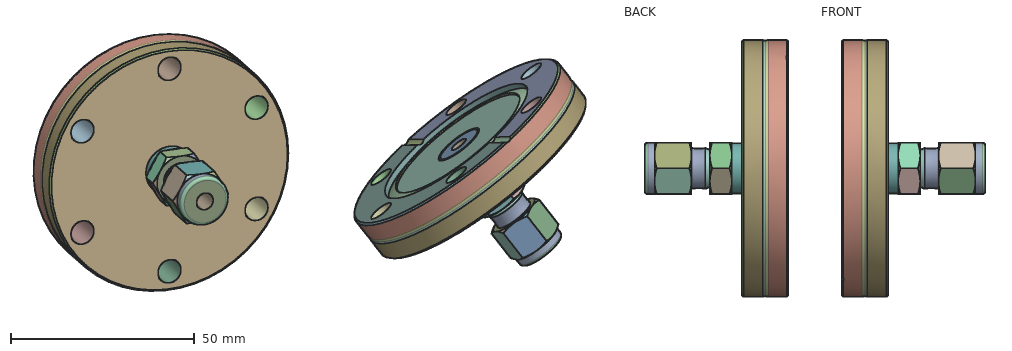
import cadquery as cq
import math

flange_radius = 69.9 / 2
flange_thickness = 12.7
rim_chamfer = 0.5

groove_start = 5.5
groove_end = 7.0
groove_depth = 0.15
groove_sag = 0.03

recess_radius = 24.15
recess_depth = 1.7
knife_radius = 21.0
knife_tip_depth = 0.65
knife_inner_radius = 20.9
inner_face_depth = 1.2

bolt_count = 6
bolt_circle_radius = 58.7 / 2
bolt_hole_diameter = 6.7

leak_channel_half_width = 1.2
leak_channel_depth = 0.6
leak_channel_tilt = 30

overall_length = 39.1
stem_radius = 6.88
stem_chamfer = 0.62
bore_radius = 2.4

hex_across_flats = 14.05
hex_flat_radius = hex_across_flats / 2
hex_sides = 6
hex_corner_radius = hex_flat_radius / math.cos(math.pi / hex_sides)
hex_cone_angle = 30

body_hex_start = 15.4
body_hex_end = 21.35
nut_hex_start = 26.35
nut_hex_end = 36.4

neck_root_radius = 5.1
neck_radius = 5.55
neck_waist_radius = 5.4
neck_taper_end = 22.6
neck_waist_end = 26.15

nut_round_radius = 0.9


def revolve_about_x(profile):
    """Revolve a closed (x, radius) profile into a solid around the X axis."""
    return profile.close().revolve(360, (0, 0, 0), (1, 0, 0))


def x_cylinder(radius, start, end):
    return cq.Workplane("YZ", origin=(start, 0, 0)).circle(radius).extrude(end - start)


def make_flange():
    groove_bottom_x = flange_thickness / 2
    groove_bottom_radius = flange_radius - groove_depth
    groove_mid_radius = flange_radius - groove_depth / 2 - groove_sag
    profile = (
        cq.Workplane("XY")
        .moveTo(inner_face_depth, 0)
        .lineTo(inner_face_depth, knife_inner_radius)
        .lineTo(knife_tip_depth, knife_radius)
        .lineTo(recess_depth, recess_radius)
        .lineTo(0, recess_radius)
        .lineTo(0, flange_radius - rim_chamfer)
        .lineTo(rim_chamfer, flange_radius)
        .lineTo(groove_start, flange_radius)
        .threePointArc(
            ((groove_start + groove_bottom_x) / 2, groove_mid_radius),
            (groove_bottom_x, groove_bottom_radius),
        )
        .threePointArc(
            ((groove_bottom_x + groove_end) / 2, groove_mid_radius),
            (groove_end, flange_radius),
        )
        .lineTo(flange_thickness - rim_chamfer, flange_radius)
        .lineTo(flange_thickness, flange_radius - rim_chamfer)
        .lineTo(flange_thickness, 0)
    )
    flange = revolve_about_x(profile)

    bolt_holes = (
        cq.Workplane("YZ")
        .polarArray(bolt_circle_radius, 90, 360, bolt_count)
        .circle(bolt_hole_diameter / 2)
        .extrude(flange_thickness)
    )
    flange = flange.cut(bolt_holes)

    channel_radius = (leak_channel_half_width**2 + leak_channel_depth**2) / (2 * leak_channel_depth)
    axis_x = leak_channel_depth - channel_radius
    channel_start = (knife_radius + recess_radius) / 2
    channel_length = flange_radius
    for tilt in (leak_channel_tilt, leak_channel_tilt + 180):
        angle = math.radians(tilt)
        direction = cq.Vector(0, math.sin(angle), math.cos(angle))
        start_point = direction * channel_start + cq.Vector(axis_x, 0, 0)
        channel = cq.Solid.makeCylinder(channel_radius, channel_length, start_point, direction)
        flange = flange.cut(cq.Workplane(obj=channel))

    return flange.cut(x_cylinder(stem_radius, inner_face_depth, flange_thickness))


def make_hex(start, end):
    """Hexagonal prism along X with corners along Y, both ends coned off."""
    hexagon = (
        cq.Workplane("YZ", origin=(start, 0, 0))
        .polygon(hex_sides, 2 * hex_corner_radius)
        .extrude(end - start)
    )
    cone_length = (hex_corner_radius - hex_flat_radius) * math.tan(math.radians(hex_cone_angle))
    envelope = revolve_about_x(
        cq.Workplane("XY")
        .moveTo(start, 0)
        .lineTo(start, hex_flat_radius)
        .lineTo(start + cone_length, hex_corner_radius)
        .lineTo(end - cone_length, hex_corner_radius)
        .lineTo(end, hex_flat_radius)
        .lineTo(end, 0)
    )
    return hexagon.intersect(envelope)


def make_fitting():
    stem_start = inner_face_depth
    round_start = overall_length - nut_round_radius
    round_end_radius = hex_flat_radius - nut_round_radius
    round_mid_offset = nut_round_radius * math.sin(math.radians(45))
    core = revolve_about_x(
        cq.Workplane("XY")
        .moveTo(stem_start, 0)
        .lineTo(stem_start, stem_radius - stem_chamfer)
        .lineTo(stem_start + stem_chamfer, stem_radius)
        .lineTo(body_hex_end, stem_radius)
        .lineTo(body_hex_end, neck_root_radius)
        .lineTo(neck_taper_end, neck_radius)
        .threePointArc(
            ((neck_taper_end + neck_waist_end) / 2, neck_waist_radius),
            (neck_waist_end, neck_radius),
        )
        .lineTo(nut_hex_end, neck_radius)
        .lineTo(nut_hex_end, hex_flat_radius)
        .lineTo(round_start, hex_flat_radius)
        .threePointArc(
            (round_start + round_mid_offset, round_end_radius + round_mid_offset),
            (overall_length, round_end_radius),
        )
        .lineTo(overall_length, 0)
    )
    fitting = core.union(make_hex(body_hex_start, body_hex_end))
    fitting = fitting.union(make_hex(nut_hex_start, nut_hex_end))
    return fitting.cut(x_cylinder(bore_radius, 0, overall_length))


flange = make_flange()
fitting = make_fitting()

result = cq.Compound.makeCompound([flange.val(), fitting.val()])